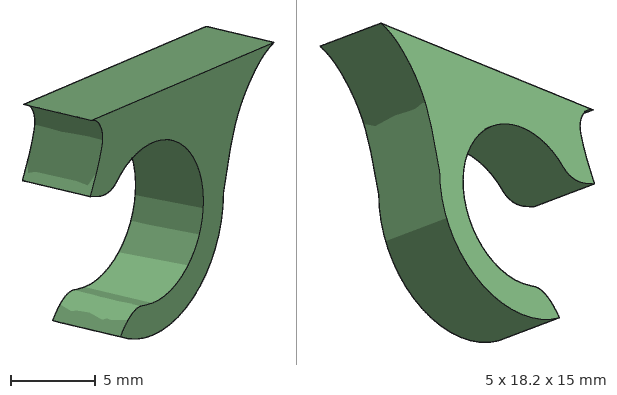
import cadquery as cq
import math

width = 5.0
bore_radius = 5.0
wall = 2.0
outer_radius = bore_radius + wall
top_z = 8.0
back_y = 12.0
front_y = -6.07
length = 18.17

upper_bore_end_angle = 136.0
lower_bore_end_angle = 277.0
lower_tip_angle = 242.8


def polar(radius, angle):
    """Point at the given radius and angle in degrees about the bore centre."""
    return (radius * math.cos(math.radians(angle)), radius * math.sin(math.radians(angle)))


back_corner = (back_y, top_z)
front_corner = (front_y, top_z)
upper_tip_y = back_y - length
upper_tip = (upper_tip_y, math.sqrt(outer_radius**2 - upper_tip_y**2))
upper_bore_end = polar(bore_radius, upper_bore_end_angle)
lower_bore_end = polar(bore_radius, lower_bore_end_angle)
lower_tip = polar(outer_radius, lower_tip_angle)
wall_start = (outer_radius, 0)

front_hollow = [(-5.38, 7.67), (-4.96, 6.78), (-5.16, 5.65), (-5.45, 4.85)]
upper_lip = [(-5.55, 3.1), (-4.76, 3.02), (-4.12, 3.15)]
lower_flat_end = (-0.07, -4.98)
lower_lip_start = (-0.87, -4.9)
lower_lip = [(-1.64, -4.92), (-2.36, -5.32)]
back_sweep = [(7.25, 0.98), (7.74, 2.78), (8.47, 4.56), (9.74, 6.36), (10.94, 7.45)]

profile = (
    cq.Workplane("YZ", origin=(-width / 2, 0, 0))
    .moveTo(*back_corner)
    .lineTo(*front_corner)
    .spline(front_hollow + [upper_tip], includeCurrent=True)
    .spline(upper_lip + [upper_bore_end], includeCurrent=True)
    .threePointArc((bore_radius, 0), lower_bore_end)
    .lineTo(*lower_flat_end)
    .lineTo(*lower_lip_start)
    .spline(lower_lip + [lower_tip], includeCurrent=True)
    .threePointArc((0, -outer_radius), wall_start)
    .spline(back_sweep + [back_corner], includeCurrent=True)
    .close()
)

result = profile.extrude(width)